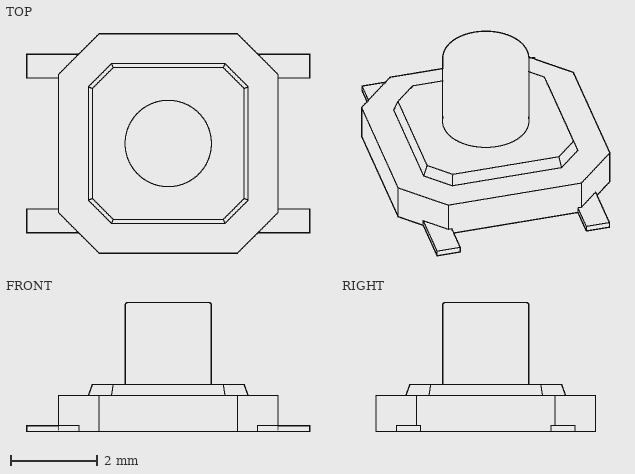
import cadquery as cq

body_side = 5.1
body_corner = 0.95
body_height = 0.84

cover_side = 3.71
cover_corner = 0.54
cover_height = 0.255
cover_draft_angle = 20

button_diameter = 2.01
button_edge_fillet = 0.065
total_height = 3.0

terminal_span = 6.58
terminal_width = 0.56
terminal_thickness = 0.14
terminal_pitch = 3.59


def cut_corner_square(side, corner):
    """Corner points of a centred square whose corners are cut at 45 degrees."""
    half = side / 2
    inner = half - corner
    return [
        (inner, -half), (half, -inner), (half, inner), (inner, half),
        (-inner, half), (-half, inner), (-half, -inner), (-inner, -half),
    ]


def make_body():
    outline = cut_corner_square(body_side, body_corner)
    return cq.Workplane("XY").polyline(outline).close().extrude(body_height)


def make_cover():
    outline = cut_corner_square(cover_side, cover_corner)
    return (
        cq.Workplane("XY", origin=(0, 0, body_height))
        .polyline(outline).close()
        .extrude(cover_height, taper=cover_draft_angle)
    )


def make_button():
    button_base = body_height + cover_height
    return (
        cq.Workplane("XY", origin=(0, 0, button_base))
        .circle(button_diameter / 2)
        .extrude(total_height - button_base)
        .faces(">Z").edges().fillet(button_edge_fillet)
    )


def make_terminals():
    return (
        cq.Workplane("XY")
        .pushPoints([(0, -terminal_pitch / 2), (0, terminal_pitch / 2)])
        .rect(terminal_span, terminal_width)
        .extrude(terminal_thickness)
    )


result = make_body().union(make_cover()).union(make_button()).union(make_terminals())